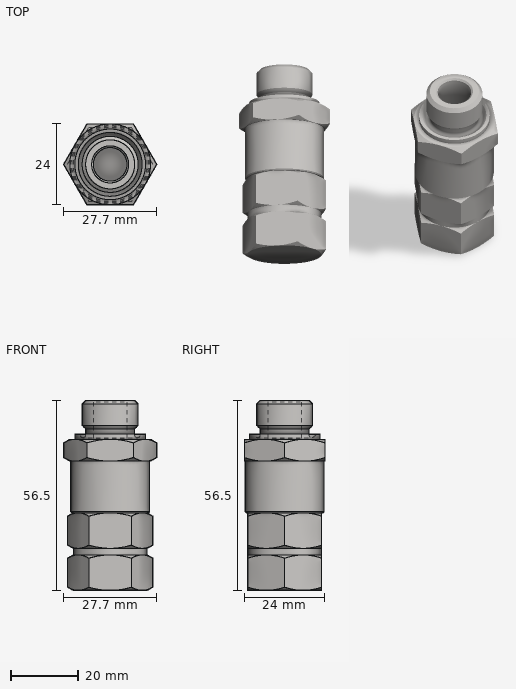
import cadquery as cq
import math

total_height = 56.5
nut_height = 10.55
groove_height = 1.9
sleeve_bottom = 23.05
sleeve_top = 38.4
flange_top = 44.9
collar_top = 46.45
upper_nut_bottom = nut_height + groove_height
upper_nut_height = sleeve_bottom - upper_nut_bottom

nut_flats = 22.0
flange_flats = 24.0
hex_chamfer_angle = 30.0

sleeve_diameter = 23.5
sleeve_chamfer = 0.35
collar_diameter = 21.0
neck_diameter = 14.6
thread_diameter = 16.65
thread_chamfer = (thread_diameter - neck_diameter) / 2
thread_bottom = 48.0

bore_diameter = 10.0
bore_depth = 11.3
bore_chamfer = 0.5

undercut_radius = 0.8
undercut_center_height = 46.15
undercut_edge_diameter = 17.3
undercut_mouth_diameter = 19.0


def cylinder(diameter, bottom, top):
    return cq.Workplane("XY").workplane(offset=bottom).circle(diameter / 2).extrude(top - bottom)


def chamfered_hexagon(flats, bottom, height):
    """Hexagonal prism whose corners are cut by a cone at both ends."""
    corner_radius = flats / math.sqrt(3)
    flat_radius = flats / 2
    corner_drop = (corner_radius - flat_radius) * math.tan(math.radians(hex_chamfer_angle))
    top = bottom + height
    prism = (
        cq.Workplane("XY").workplane(offset=bottom)
        .polygon(6, 2 * corner_radius).extrude(height)
    )
    envelope = (
        cq.Workplane("XZ")
        .moveTo(0, bottom)
        .lineTo(flat_radius, bottom)
        .lineTo(corner_radius, bottom + corner_drop)
        .lineTo(corner_radius, top - corner_drop)
        .lineTo(flat_radius, top)
        .lineTo(0, top)
        .close()
        .revolve(360, (0, 0, 0), (0, 1, 0))
    )
    return prism.intersect(envelope)


def threaded_end():
    """Neck and thread cylinder, chamfered at both ends of the thread."""
    neck = cylinder(neck_diameter, flange_top, thread_bottom)
    thread = (
        cylinder(thread_diameter, thread_bottom, total_height)
        .faces("<Z or >Z").chamfer(thread_chamfer)
    )
    return neck.union(thread)


def neck_undercut():
    """Ring cut around the neck: an arc tangent to the neck, then a cone up to the collar face."""
    neck_radius = neck_diameter / 2
    center_radius = neck_radius + undercut_radius
    edge_radius = undercut_edge_diameter / 2
    edge_depth = math.sqrt(undercut_radius**2 - (edge_radius - center_radius) ** 2)
    return (
        cq.Workplane("XZ")
        .moveTo(neck_radius, collar_top)
        .lineTo(neck_radius, undercut_center_height)
        .threePointArc(
            (center_radius, undercut_center_height - undercut_radius),
            (edge_radius, undercut_center_height - edge_depth),
        )
        .lineTo(undercut_mouth_diameter / 2, collar_top)
        .close()
        .revolve(360, (0, 0, 0), (0, 1, 0))
    )


def bore():
    """Blind bore with a conical mouth."""
    bore_radius = bore_diameter / 2
    bore_bottom = total_height - bore_depth
    return (
        cq.Workplane("XZ")
        .moveTo(0, bore_bottom)
        .lineTo(bore_radius, bore_bottom)
        .lineTo(bore_radius, total_height - bore_chamfer)
        .lineTo(bore_radius + bore_chamfer, total_height)
        .lineTo(0, total_height)
        .close()
        .revolve(360, (0, 0, 0), (0, 1, 0))
    )


def make_coupling():
    """Lower body: two equal hexagons with a round groove between them."""
    return (
        chamfered_hexagon(nut_flats, 0, nut_height)
        .union(cylinder(nut_flats, nut_height, upper_nut_bottom))
        .union(chamfered_hexagon(nut_flats, upper_nut_bottom, upper_nut_height))
    )


def make_housing():
    """Upper body: sleeve, large hexagon, collar and threaded end, resting on the coupling."""
    sleeve = cylinder(sleeve_diameter, sleeve_bottom, sleeve_top).faces("<Z").chamfer(sleeve_chamfer)
    return (
        sleeve
        .union(chamfered_hexagon(flange_flats, sleeve_top, flange_top - sleeve_top))
        .union(cylinder(collar_diameter, flange_top, collar_top))
        .union(threaded_end())
        .cut(neck_undercut())
        .cut(bore())
    )


coupling = make_coupling()
housing = make_housing()
result = cq.Compound.makeCompound([coupling.val(), housing.val()])